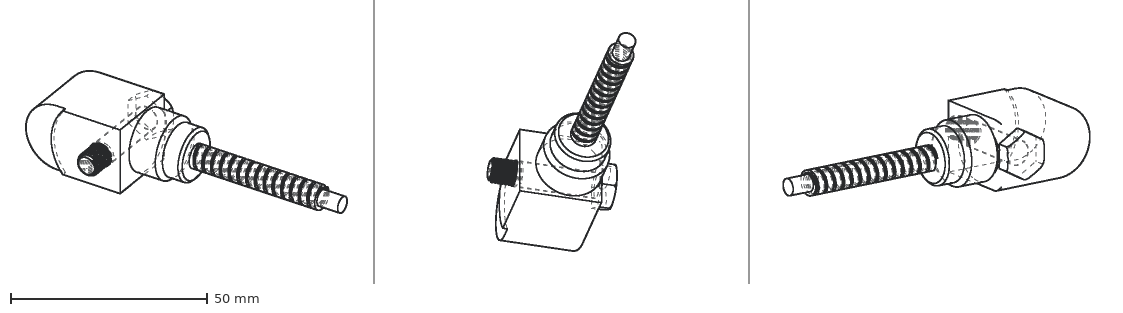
import cadquery as cq
import math

body_height = 19.0
nose_radius = body_height / 2
body_end_x = 29.4
back_y = 8.9
front_y = -12.9
back_fillet = 1.3
nose_step_depth = 1.2

bolt_x = 23.3
bolt_hole_dia = 6.7
step_radius = 14.8
head_height = 3.9
head_sides = 6
head_across_flats = 11.3
head_rounding = 1.0
thread_dia = 6.4
thread_root_dia = 5.4
thread_pitch = thread_dia / 7
thread_floor_width = 0.3
thread_mouth_width = 0.7
thread_groove_y = -17.3
thread_cover = 1.3
bolt_tip_dia = 5.0
overall_y = 32.1
bolt_tip_y = back_y + head_height - overall_y

collar_dia = 17.4
collar_end_x = 38.7
collar_chamfer = 1.3
neck_dia = 14.8
neck_end_x = 44.2
neck_chamfer = 0.8
armor_dia = 6.7
armor_root_dia = 5.4
armor_end_x = 82.2
armor_pitch = 2.65
armor_groove_width = 0.7
armor_groove_x = 47.1
cable_dia = 4.5
cable_end_x = 88.5

cutter_overlap = 0.1


def rod(dia, start_x, end_x):
    """Cylinder on the X axis."""
    return cq.Workplane("YZ").workplane(offset=start_x).circle(dia / 2).extrude(end_x - start_x)


def rod_along_y(dia, x, start_y, end_y):
    """Cylinder parallel to Y, from start_y towards -Y as far as end_y."""
    return (
        cq.Workplane("XZ", origin=(x, start_y, 0))
        .circle(dia / 2)
        .extrude(start_y - end_y)
    )


def helical_cutter(profile, radius, pitch, length):
    """Right-handed sweep of (radius, height) points along Z, starting on the +X side."""
    path = cq.Workplane(obj=cq.Wire.makeHelix(pitch, length, radius))
    return cq.Workplane("XZ").polyline(profile).close().sweep(path, isFrenet=True)


def make_block():
    """Body with rounded back edges and a shallow step across the front of its nose."""
    block = (
        cq.Workplane("XZ", origin=(0, back_y, 0))
        .moveTo(nose_radius, nose_radius)
        .lineTo(body_end_x, nose_radius)
        .lineTo(body_end_x, -nose_radius)
        .lineTo(nose_radius, -nose_radius)
        .threePointArc((0, 0), (nose_radius, nose_radius))
        .close()
        .extrude(back_y - front_y)
        .faces(">Y").edges().fillet(back_fillet)
    )
    core = rod(2 * back_y, body_end_x - back_fillet, body_end_x)
    nose_layer = (
        cq.Workplane("XZ", origin=(bolt_x / 2, front_y + nose_step_depth, 0))
        .rect(bolt_x, body_height)
        .extrude(nose_step_depth)
    )
    kept_disc = rod_along_y(2 * step_radius, bolt_x, front_y + nose_step_depth, front_y)
    return block.union(core).cut(nose_layer.cut(kept_disc))


def make_outlet():
    """Stepped collar and neck through which the cable leaves the body."""
    collar = rod(collar_dia, body_end_x, collar_end_x).faces(">X").edges().chamfer(collar_chamfer)
    neck = rod(neck_dia, collar_end_x - collar_chamfer, neck_end_x).faces(">X").edges().chamfer(neck_chamfer)
    return collar.union(neck)


def make_armor():
    """Cable sleeve with a helical groove."""
    root = armor_root_dia / 2
    outside = armor_dia / 2 + cutter_overlap
    half_width = armor_groove_width / 2
    profile = [(root, -half_width), (outside, -half_width), (outside, half_width), (root, half_width)]
    turns_before = math.ceil((armor_groove_x - neck_end_x) / armor_pitch) + 1
    start_x = armor_groove_x - turns_before * armor_pitch
    end_x = armor_end_x + 2 * armor_pitch
    groove = helical_cutter(profile, root, armor_pitch, end_x - start_x)
    groove = groove.rotate((0, 0, 0), (1, 1, 1), 120).translate((start_x, 0, 0))
    grooved = rod(armor_dia, start_x - armor_pitch, end_x + armor_pitch).cut(groove)
    return grooved.intersect(rod(2 * armor_dia, neck_end_x, armor_end_x))


def make_housing():
    """Body, outlet, sleeve and cable as one solid, with a through hole for the bolt."""
    cable = rod(cable_dia, neck_end_x, cable_end_x)
    bolt_hole = rod_along_y(bolt_hole_dia, bolt_x, back_y, front_y)
    return make_block().cut(bolt_hole).union(make_outlet()).union(make_armor()).union(cable)


def make_head():
    """Hexagonal head with corners on +Z and -Z, its outer face rounded at the corners."""
    half_side_angle = 180 / head_sides
    corner_dia = head_across_flats / math.cos(math.radians(half_side_angle))
    head_y = back_y + head_height
    hexagon = (
        cq.Workplane("XZ", origin=(bolt_x, head_y, 0))
        .polygon(head_sides, corner_dia)
        .extrude(head_height)
        .rotate((bolt_x, 0, 0), (bolt_x, 1, 0), half_side_angle)
    )
    rounded_disc = rod_along_y(corner_dia, bolt_x, head_y, back_y).faces(">Y").edges().fillet(head_rounding)
    return hexagon.intersect(rounded_disc)


def make_shank():
    """Round shank, threaded where it stands out of the body."""
    root = thread_root_dia / 2
    crest = thread_dia / 2
    outside = crest + cutter_overlap
    half_floor = thread_floor_width / 2
    flank_slope = (thread_mouth_width / 2 - half_floor) / (crest - root)
    half_outside = half_floor + flank_slope * (outside - root)
    profile = [(root, -half_floor), (outside, -half_outside), (outside, half_outside), (root, half_floor)]
    turns_below_tip = math.ceil((thread_groove_y - bolt_tip_y) / thread_pitch) + 1
    start_y = thread_groove_y - turns_below_tip * thread_pitch
    groove = helical_cutter(profile, root, thread_pitch, front_y + thread_cover - start_y)
    groove = groove.rotate((0, 0, 0), (1, 0, 0), -90).translate((bolt_x, start_y, 0))
    threaded = rod_along_y(thread_dia, bolt_x, back_y, start_y - thread_pitch).cut(groove)
    envelope = (
        rod_along_y(thread_dia + 2 * cutter_overlap, bolt_x, back_y, bolt_tip_y)
        .faces("<Y").edges()
        .chamfer((thread_dia - bolt_tip_dia) / 2 + cutter_overlap)
    )
    return threaded.intersect(envelope)


def make_bolt():
    """Bolt whose head rests on the back of the body."""
    return make_head().union(make_shank())


housing = make_housing()
bolt = make_bolt()
result = cq.Compound.makeCompound([housing.solids().val(), bolt.solids().val()])